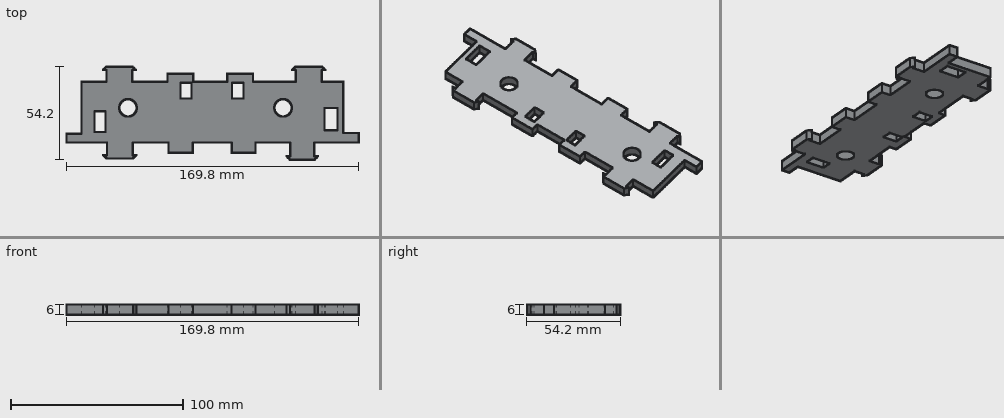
import cadquery as cq

thickness = 6.0

body_left = -72.1
body_right = 80.0
body_top = 15.2
body_bottom = -20.2
ear_left_end = -80.75
overall_length = 169.82
ear_right_end = ear_left_end + overall_length
left_ear_height = 5.3
right_ear_height = 5.6

barb_width = 2.1
barb_height = 2.1
overall_width = 54.16
upper_clip_reach = 8.8
lower_left_clip_reach = 9.3
lower_right_clip_reach = overall_width - upper_clip_reach - (body_top - body_bottom)
upper_left_clip = (-57.5, -42.5)
upper_right_clip = (52.3, 67.5)
lower_left_clip = (-57.3, -42.2)
lower_right_clip = (49.1, 63.2)

upper_tab_reach = 4.7
lower_tab_reach = 6.0
upper_tabs = [(-22.2, -7.0), (12.6, 27.6)]
lower_tabs = [(-21.5, -7.3), (15.2, 29.1)]

upper_slot_span = (5.5, 14.5)
upper_slots = [(-14.4, -8.2), (15.4, 22.0)]
left_slot = (-64.4, -58.2)
left_slot_span = (-13.9, -2.1)
right_slot = (69.1, 76.5)
right_slot_span = (-13.0, -0.1)

hole_diameter = 10.0
hole_spacing = 90.0


def block(x_range, y_range):
    """Full-thickness rectangular block covering the given X and Y ranges."""
    length = x_range[1] - x_range[0]
    width = y_range[1] - y_range[0]
    corner = (x_range[0], y_range[0], 0)
    return cq.Workplane("XY").box(length, width, thickness, centered=False).translate(corner)


def clip(stem, edge, reach, direction):
    """Snap clip growing from a body edge; direction is +1 towards +Y, -1 towards -Y."""
    left, right = stem
    tip = edge + direction * reach
    shoulder = tip - direction * barb_height
    outline = [
        (left, edge),
        (left, shoulder),
        (left - barb_width, shoulder),
        (left, tip),
        (right, tip),
        (right + barb_width, shoulder),
        (right, shoulder),
        (right, edge),
    ]
    return cq.Workplane("XY").polyline(outline).close().extrude(thickness)


def make_body():
    """Main rectangle with an ear at each end of its lower edge."""
    body = block((body_left, body_right), (body_bottom, body_top))
    left_ear = block((ear_left_end, body_left), (body_bottom, body_bottom + left_ear_height))
    right_ear = block((body_right, ear_right_end), (body_bottom, body_bottom + right_ear_height))
    return body.union(left_ear).union(right_ear)


def add_clips(plate):
    """Two snap clips on each long edge."""
    for stem in (upper_left_clip, upper_right_clip):
        plate = plate.union(clip(stem, body_top, upper_clip_reach, 1))
    plate = plate.union(clip(lower_left_clip, body_bottom, lower_left_clip_reach, -1))
    return plate.union(clip(lower_right_clip, body_bottom, lower_right_clip_reach, -1))


def add_tabs(plate):
    """Two rectangular tabs on each long edge, between the clips."""
    for tab in upper_tabs:
        plate = plate.union(block(tab, (body_top, body_top + upper_tab_reach)))
    for tab in lower_tabs:
        plate = plate.union(block(tab, (body_bottom - lower_tab_reach, body_bottom)))
    return plate


def cut_slots(plate):
    """Rectangular through slots: two by the upper tabs and one near each end."""
    for slot in upper_slots:
        plate = plate.cut(block(slot, upper_slot_span))
    plate = plate.cut(block(left_slot, left_slot_span))
    return plate.cut(block(right_slot, right_slot_span))


def cut_holes(plate):
    """Two round through holes on the X axis."""
    centers = [(-hole_spacing / 2, 0), (hole_spacing / 2, 0)]
    holes = cq.Workplane("XY").pushPoints(centers).circle(hole_diameter / 2).extrude(thickness)
    return plate.cut(holes)


result = cut_holes(cut_slots(add_tabs(add_clips(make_body()))))